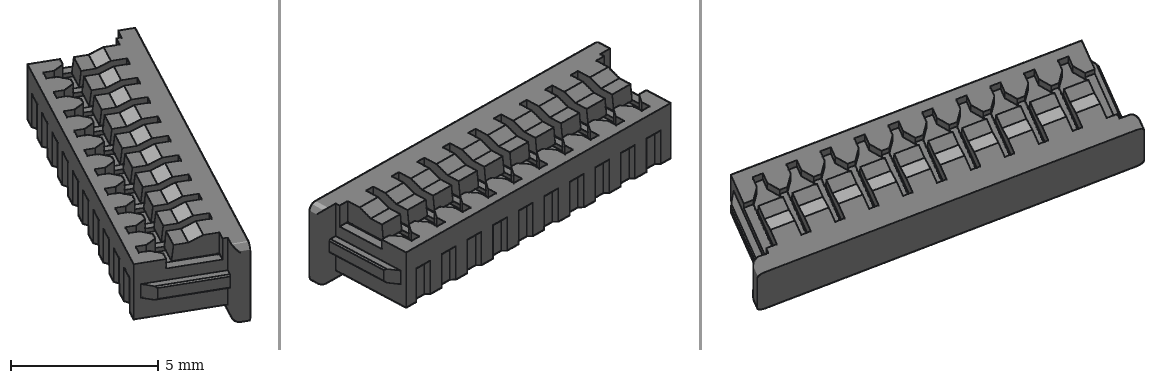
import cadquery as cq


length = 14.25
depth = 3.95
height = 3.2
flange_front = 3.33
flange_radius = 0.3

body_length = 12.92
body_bottom = 0.48
body_top = 2.74
shoulder_z = 2.35
trench_front = 1.15
trench_rear = 3.15

contact_count = 10
contact_row_span = 11.25
contact_pitch = contact_row_span / (contact_count - 1)

pocket_floor = 2.18
pocket_width = 0.97
throat_width = 0.38
throat_rear = 0.75
throat_front = 0.37
finger_width = 0.9
finger_tip_z = 2.99
finger_crest_y = 2.58
finger_tip_rear = 2.05
finger_tip_front = 1.52
finger_foot_front = 1.45

groove_width = 0.68
groove_top = 1.85
groove_depth = 0.14

rail_reach = 0.31
rail_bottom = 1.33
rail_top = 1.88
rail_edge = 0.05
rail_flat_front = 0.75
rail_front = 0.25

bump_centre_x = 5.0
bump_width = 0.85
bump_tip_z = 0.21
bump_rear = 1.42
bump_tip_rear = 1.13
bump_tip_front = 1.03
bump_front = 0.43

body_half = body_length / 2
contact_xs = [i * contact_pitch - contact_row_span / 2 for i in range(contact_count)]


def box(x0, x1, y0, y1, z0, z1):
    return cq.Workplane("XY").box(x1 - x0, y1 - y0, z1 - z0, centered=False).translate((x0, y0, z0))


def extrude_side_profile(points, centre_x, width):
    """Extrude a (Y, Z) outline symmetrically about a given X."""
    profile = cq.Workplane("YZ", origin=(centre_x, 0, 0)).polyline(points).close()
    return profile.extrude(width / 2, both=True)


def make_flange():
    """Plate with round corners whose front edge is rounded everywhere but along the top."""
    plate = box(-length / 2, length / 2, flange_front, depth, 0, height)
    outline = plate.edges("|Y").fillet(flange_radius)
    front_rounded = plate.edges("|Y and <Z").fillet(flange_radius)
    front_rounded = front_rounded.edges("<Y and (not >Z)").fillet(flange_radius)
    return outline.intersect(front_rounded)


def make_body():
    """Body with a full-width trench across its top, stepping up to the flange at the rear."""
    outline = [
        (0, body_bottom),
        (0, body_top),
        (trench_front, body_top),
        (trench_front, shoulder_z),
        (trench_rear, shoulder_z),
        (trench_rear, height),
        (flange_front, height),
        (flange_front, body_bottom),
    ]
    return extrude_side_profile(outline, 0, body_length)


def make_pocket(x):
    """Pocket open upward, narrowing like a funnel to a throat near the mating face."""
    half = pocket_width / 2
    throat = throat_width / 2
    outline = [
        (x - half, trench_rear),
        (x - half, trench_front),
        (x - throat, throat_rear),
        (x - throat, throat_front),
        (x + throat, throat_front),
        (x + throat, throat_rear),
        (x + half, trench_front),
        (x + half, trench_rear),
    ]
    pocket = cq.Workplane("XY", origin=(0, 0, pocket_floor)).polyline(outline).close()
    return pocket.extrude(body_top - pocket_floor)


def make_finger(x):
    """Latch finger cantilevered above the pocket floor, sloping on its top and front."""
    outline = [
        (trench_rear, shoulder_z),
        (trench_rear, height),
        (finger_crest_y, height),
        (finger_tip_rear, finger_tip_z),
        (finger_tip_front, finger_tip_z),
        (finger_foot_front, shoulder_z),
    ]
    return extrude_side_profile(outline, x, finger_width)


def make_groove(x):
    """Groove in the mating face, open at the bottom, with 45 degree side and top walls."""
    mouth_bottom = body_bottom - groove_depth
    mouth_height = groove_top - mouth_bottom
    mouth_centre = (x, 0, mouth_bottom + mouth_height / 2)
    mouth = cq.Workplane("XZ", origin=mouth_centre).rect(groove_width, mouth_height)
    return mouth.extrude(-groove_depth, taper=45)


def make_rail():
    """Guide rail on the -X end, tapering into the body at its front."""
    outer_x = -body_half - rail_reach
    outline = [
        (-body_half, flange_front),
        (outer_x, flange_front),
        (outer_x, rail_flat_front),
        (-body_half, rail_front),
    ]
    rail = cq.Workplane("XY", origin=(0, 0, rail_bottom)).polyline(outline).close()
    rail = rail.extrude(rail_top - rail_bottom)
    return rail.edges("<X and |Y").chamfer(rail_edge)


def make_bump(x):
    """Snap bump with a steep rear flank and a shallow front ramp."""
    outline = [
        (bump_rear, body_bottom),
        (bump_tip_rear, bump_tip_z),
        (bump_tip_front, bump_tip_z),
        (bump_front, body_bottom),
    ]
    return extrude_side_profile(outline, x, bump_width)


result = make_body().union(make_flange())

for contact_x in contact_xs:
    result = result.cut(make_pocket(contact_x))
    result = result.cut(make_groove(contact_x))
    result = result.union(make_finger(contact_x))

left_rail = make_rail()
result = result.union(left_rail).union(left_rail.mirror("YZ"))

for side in (-1, 1):
    result = result.union(make_bump(side * bump_centre_x))